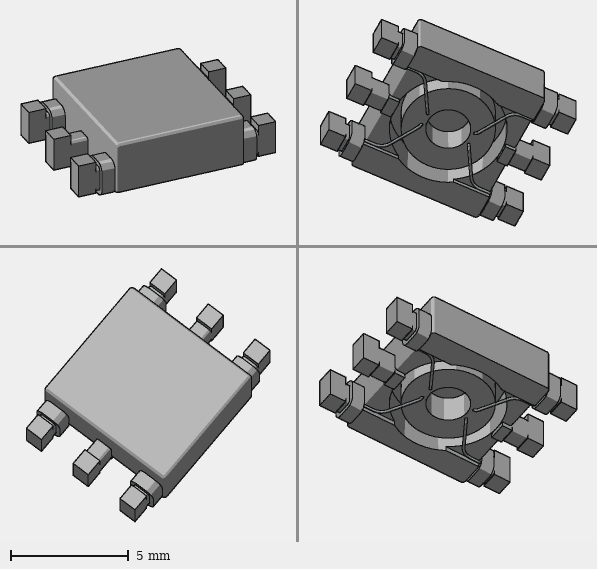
import cadquery as cq
import math

HOUSING_X = 6.6
HOUSING_Y = 6.0
HOUSING_Z = 2.34
EDGE_RADIUS = 0.16
CHANNEL_Z = 0.24
CAVITY_DIAMETER = 5.0
WALL = (HOUSING_Y - CAVITY_DIAMETER) / 2
CAVITY_TOP = HOUSING_Z - WALL

LENGTH_Y = 9.2
LEAD_PITCH = 2.54
LEAD_WIDTH = 0.82
BLOCK_LENGTH = 0.8
BLOCK_Z = 1.51
NECK_BOTTOM = 0.055
NECK_TOP = 1.19
NECK_RADIUS = 0.15

SLEEVE_THICKNESS = 0.22
SLEEVE_LENGTH = 0.62

CORE_OUTER_DIAMETER = 4.0
CORE_INNER_DIAMETER = 1.9
CORE_GAP = CHANNEL_Z
WIRE_DIAMETER = 0.12
WIRE_Z = 0.16
WIRE_BEND_X = 1.68
WIRE_INNER_X = 0.49
WIRE_RISE_RADIUS = 0.28
WIRE_SLANT = 30
WIRE_INTO_SLEEVE = WIRE_DIAMETER

FACE_Y = HOUSING_Y / 2
NECK_Z = (NECK_BOTTOM + NECK_TOP) / 2
CHANNEL_WIDTH = 2 * LEAD_PITCH - LEAD_WIDTH
SIDES = (-1, 1)


def neck_bar(x, side, start_y, length, growth=0.0):
    """Rounded bar along Y at a lead; growth offsets its section outward."""
    center_y = side * (start_y + length / 2)
    return (
        cq.Workplane("XY")
        .box(LEAD_WIDTH + 2 * growth, length, NECK_TOP - NECK_BOTTOM + 2 * growth)
        .edges("|Y")
        .fillet(NECK_RADIUS + growth)
        .translate((x, center_y, NECK_Z))
    )


def make_lead(x, side):
    """Neck through the housing wall with the square block at its end."""
    inner_y = FACE_Y - WALL
    block_y = LENGTH_Y / 2 - BLOCK_LENGTH
    neck = neck_bar(x, side, inner_y, block_y - inner_y)
    block = (
        cq.Workplane("XY")
        .box(LEAD_WIDTH, BLOCK_LENGTH, BLOCK_Z)
        .translate((x, side * (block_y + BLOCK_LENGTH / 2), BLOCK_Z / 2))
    )
    return neck.union(block)


def make_channel():
    """Cutter for the channel; it flares in an arc at both ends to round the wall edges."""
    r = EDGE_RADIUS
    return (
        cq.Workplane("YZ")
        .moveTo(-FACE_Y, 0)
        .lineTo(-FACE_Y, CHANNEL_Z + r)
        .radiusArc((-FACE_Y + r, CHANNEL_Z), -r)
        .lineTo(FACE_Y - r, CHANNEL_Z)
        .radiusArc((FACE_Y, CHANNEL_Z + r), -r)
        .lineTo(FACE_Y, 0)
        .close()
        .extrude(CHANNEL_WIDTH / 2, both=True)
    )


def make_rib(side):
    """Part of the end wall under a middle lead, which reaches down to the housing base."""
    return (
        cq.Workplane("XY")
        .box(LEAD_WIDTH, WALL, NECK_Z, centered=(True, True, False))
        .translate((0, side * (FACE_Y - WALL / 2), 0))
    )


def make_housing():
    """Housing with its underside channel, core cavity and six leads."""
    body = (
        cq.Workplane("XY")
        .box(HOUSING_X, HOUSING_Y, HOUSING_Z, centered=(True, True, False))
        .edges("|Z or >Z")
        .fillet(EDGE_RADIUS)
    )
    cavity = cq.Workplane("XY").circle(CAVITY_DIAMETER / 2).extrude(CAVITY_TOP)
    body = body.cut(make_channel()).cut(cavity)
    for side in SIDES:
        body = body.union(make_rib(side))
        for column in (-1, 0, 1):
            body = body.union(make_lead(column * LEAD_PITCH, side))
    return body


def make_sleeve(x, side):
    """Tube that fits around the neck of a corner lead, against the housing."""
    outer = neck_bar(x, side, FACE_Y, SLEEVE_LENGTH, SLEEVE_THICKNESS)
    return outer.cut(neck_bar(x, side, FACE_Y, SLEEVE_LENGTH))


def make_wire():
    """Wire in the -X, -Y quarter: from the sleeve wall, slanting inward, then up into the core."""
    slant = math.radians(WIRE_SLANT)
    heading = cq.Vector(math.cos(slant), math.sin(slant), 0)
    along_y = cq.Vector(0, 1, 0)
    upward = cq.Vector(0, 0, 1)

    sleeve_wall_x = LEAD_PITCH - (LEAD_WIDTH + SLEEVE_THICKNESS) / 2
    bend_radius = (sleeve_wall_x - WIRE_BEND_X) / (1 - heading.y)
    run_length = (WIRE_BEND_X - WIRE_INNER_X) / heading.x

    start = cq.Vector(-sleeve_wall_x, -FACE_Y - WIRE_INTO_SLEEVE, WIRE_Z)
    bend_start = cq.Vector(-sleeve_wall_x, WALL - FACE_Y, WIRE_Z)
    bend_end = cq.Vector(-WIRE_BEND_X, bend_start.y + bend_radius * heading.x, WIRE_Z)
    rise_start = bend_end + heading * run_length
    rise_end = rise_start + (heading + upward) * WIRE_RISE_RADIUS

    path = cq.Wire.assembleEdges([
        cq.Edge.makeLine(start, bend_start),
        cq.Edge.makeTangentArc(bend_start, along_y, bend_end),
        cq.Edge.makeLine(bend_end, rise_start),
        cq.Edge.makeTangentArc(rise_start, heading, rise_end),
    ])
    section = cq.Workplane(cq.Plane(start, (1, 0, 0), along_y)).circle(WIRE_DIAMETER / 2)
    return section.sweep(cq.Workplane(path))


def make_winding():
    """Ring core joined by four wires to the four corner sleeves."""
    winding = (
        cq.Workplane("XY", origin=(0, 0, CHANNEL_Z))
        .circle(CORE_OUTER_DIAMETER / 2)
        .circle(CORE_INNER_DIAMETER / 2)
        .extrude(CAVITY_TOP - CORE_GAP - CHANNEL_Z)
    )
    wire = make_wire()
    wire_pair = wire.union(wire.mirror("YZ"))
    winding = winding.union(wire_pair).union(wire_pair.mirror("XZ"))
    for side in SIDES:
        for column in SIDES:
            winding = winding.union(make_sleeve(column * LEAD_PITCH, side))
    return winding


housing = make_housing()
winding = make_winding()
result = cq.Compound.makeCompound([housing.val(), winding.val()])